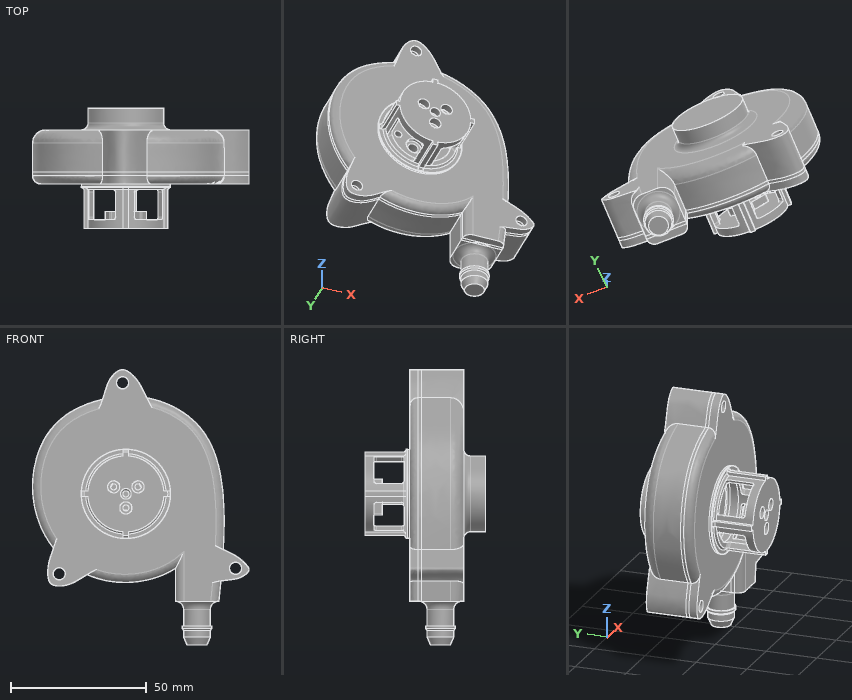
import cadquery as cq
import math


casing_depth = 20.0
cover_thickness = 3.1
gasket_thickness = 1.2
gasket_back = cover_thickness + gasket_thickness
front_round = 3.0
back_round = 4.9

slab_size = 304.6

outlet_bottom = -39.6
outlet_inner_x = 18.3
scroll_points = [
    (outlet_inner_x, -27.5),
    (0, -32.7),
    (-13.7, -30.1),
    (-26.7, -20.0),
    (-34.4, 2.0),
    (-25.9, 25.8),
    (-9.1, 34.7),
    (9.1, 35.1),
    (26.2, 25.8),
    (36.2, -8.1),
    (34.3, outlet_bottom),
]

lug_hole_diameter = 4.4
lug_root_ratio = 0.6
lugs = [
    (
        (-1.2, 40.9),
        [(-10.0, 31.5), (-7.7, 37.8), (-4.2, 44.4), (-1.2, 45.8), (1.8, 44.4), (6.2, 38.6), (9.6, 31.8)],
    ),
    (
        (-24.6, -29.4),
        [(-10.8, -27.8), (-16.9, -31.4), (-23.1, -33.9), (-27.7, -33.0), (-28.8, -28.8),
         (-27.7, -22.8), (-25.6, -16.7)],
    ),
    (
        (40.4, -27.4),
        [(32.8, -19.0), (39.7, -22.3), (44.5, -26.2), (45.4, -27.8), (44.2, -29.6),
         (38.8, -31.7), (31.6, -32.9)],
    ),
]

inlet_diameter = 28.0
inlet_end = 28.0
inlet_flare = 2.4

nozzle_x = 26.2
nozzle_y = 11.4
nozzle_diameter = 10.0
nozzle_flare = 2.9
bead_diameter = 11.0
bead_top = 9.0
bead_bottom = 10.1
bead_taper_end = 10.7
tip_start = 13.2
nozzle_length = 16.1
tip_diameter = 7.3

screw_directions = (30, 150, 270)

seat_diameter = 28.0
seat_floor = 4.9
seat_boss_diameter = 32.8
seat_boss_height = 0.8
shaft_recess_diameter = 6.5
shaft_recess_depth = 1.4
shaft_hole_diameter = 4.0
shaft_hole_depth = 5.1
motor_screw_diameter = 2.8
motor_screw_depth = 4.1
motor_screw_radius = 7.4

cage_front = -16.4
cage_diameter = 28.0
cage_bore_diameter = 24.0
cage_base_diameter = 33.0
cage_base_front = -1.2
cage_chamfer = 0.8
cage_floor = -13.1
rib_reach = 15.4
rib_width = 2.0
window_count = 4
window_width = 14.2
window_shift = 0.3
window_direction = 45
window_round = 0.9
spider_arm_reach = 7.8
spider_arm_width = 4.2
spider_arm_round = 0.5
spider_height = 3.0
cage_screw_radius = 5.2
cage_screw_head_diameter = 4.5
cage_screw_hole_diameter = 2.2
cage_centre_diameter = 4.0
cage_centre_hole_diameter = 2.2


def plane_at(y):
    """Work plane across the motor axis; its local axes are X and Z."""
    return cq.Workplane("XZ", origin=(0, y, 0))


def rod(diameter, y_start, y_end, centres=((0, 0),)):
    """Round bars along Y at the given (X, Z) centres."""
    return plane_at(y_start).pushPoints(centres).circle(diameter / 2).extrude(y_start - y_end)


def turned(profile):
    """Solid turned about the Y axis from (radius, Y) points."""
    return cq.Workplane("XY").polyline(profile).close().revolve(360, (0, 0, 0), (0, 1, 0))


def flare_middle(radius):
    """Distance of a quarter-round flare's midpoint from each of the two faces it blends."""
    return radius * (1 - math.sqrt(0.5))


def around_axis(radius, directions):
    """(X, Z) points on a circle about the motor axis."""
    return [
        (radius * math.cos(math.radians(a)), radius * math.sin(math.radians(a)))
        for a in directions
    ]



def make_volute():
    volute = (
        plane_at(0)
        .moveTo(*scroll_points[0])
        .spline(scroll_points[1:], includeCurrent=True)
        .lineTo(outlet_inner_x, outlet_bottom)
        .close()
        .extrude(-casing_depth)
    )
    volute = volute.faces("<Y").edges("not <Z").fillet(front_round)
    return volute.faces(">Y").edges("not <Z").fillet(back_round)


def make_lug(hole, outline):
    """Lug with a curved outline, closed by a wedge that runs into the volute."""
    root = (lug_root_ratio * hole[0], lug_root_ratio * hole[1])
    return (
        plane_at(0)
        .moveTo(*outline[0])
        .spline(outline[1:], includeCurrent=True)
        .lineTo(*root)
        .close()
        .extrude(-casing_depth)
    )


def make_casing():
    casing = make_volute()
    for hole, outline in lugs:
        casing = casing.union(make_lug(hole, outline))
    holes = [hole for hole, _ in lugs]
    return casing.cut(rod(lug_hole_diameter, 0, casing_depth, holes))


def layer(solid, y_start, y_end):
    """The part of a solid between two planes across the motor axis."""
    slab = plane_at(y_start).rect(slab_size, slab_size).extrude(y_start - y_end)
    return solid.intersect(slab)



def make_inlet():
    radius = inlet_diameter / 2
    middle = flare_middle(inlet_flare)
    return (
        cq.Workplane("XY")
        .moveTo(0, casing_depth)
        .lineTo(radius + inlet_flare, casing_depth)
        .threePointArc((radius + middle, casing_depth + middle), (radius, casing_depth + inlet_flare))
        .lineTo(radius, inlet_end)
        .lineTo(0, inlet_end)
        .close()
        .revolve(360, (0, 0, 0), (0, 1, 0))
    )


def make_nozzle():
    radius = nozzle_diameter / 2
    middle = flare_middle(nozzle_flare)
    return (
        cq.Workplane("XZ", origin=(nozzle_x, nozzle_y, outlet_bottom))
        .lineTo(radius + nozzle_flare, 0)
        .threePointArc((radius + middle, -middle), (radius, -nozzle_flare))
        .lineTo(radius, -bead_top)
        .lineTo(bead_diameter / 2, -bead_top)
        .lineTo(bead_diameter / 2, -bead_bottom)
        .lineTo(radius, -bead_taper_end)
        .lineTo(radius, -tip_start)
        .lineTo(tip_diameter / 2, -nozzle_length)
        .lineTo(0, -nozzle_length)
        .close()
        .revolve(360, (0, 0, 0), (0, 1, 0))
    )


def make_back_housing(casing):
    housing = layer(casing, gasket_back, casing_depth).union(make_inlet()).union(make_nozzle())
    recess_end = seat_floor + shaft_recess_depth
    motor_screws = around_axis(motor_screw_radius, screw_directions)
    return (
        housing.cut(rod(seat_diameter, gasket_back, seat_floor))
        .cut(rod(shaft_recess_diameter, seat_floor, recess_end))
        .cut(rod(shaft_hole_diameter, recess_end, recess_end + shaft_hole_depth))
        .cut(rod(motor_screw_diameter, seat_floor, seat_floor + motor_screw_depth, motor_screws))
    )



def make_gasket(casing):
    return layer(casing, cover_thickness, gasket_back).cut(rod(seat_diameter, cover_thickness, gasket_back))


def make_cover(casing):
    boss = rod(seat_boss_diameter, -seat_boss_height, 0)
    bore = rod(seat_diameter, -seat_boss_height, cover_thickness)
    return layer(casing, 0, cover_thickness).union(boss).cut(bore)



def chamfered_post(radius):
    """Round post from the cage front to the base flange, widening at its root."""
    return turned([
        (0, cage_front),
        (radius, cage_front),
        (radius, cage_base_front - cage_chamfer),
        (radius + cage_chamfer, cage_base_front),
        (0, cage_base_front),
    ])


def make_ribs():
    bar = plane_at(cage_front).rect(rib_width, cage_base_diameter).extrude(cage_front - cage_base_front)
    crossed_bars = bar.union(bar.rotate((0, 0, 0), (0, 1, 0), 90))
    return crossed_bars.intersect(chamfered_post(rib_reach))


def make_window():
    """Round-cornered opening from the axis outwards, slightly off centre between two ribs."""
    return (
        plane_at(cage_floor)
        .center(-window_shift, cage_diameter / 2)
        .rect(window_width, cage_diameter)
        .extrude(cage_floor - (cage_base_front - cage_chamfer))
        .edges("|Z")
        .fillet(window_round)
        .rotate((0, 0, 0), (0, 1, 0), window_direction)
    )


def make_spider():
    """Three-armed boss on the cage floor that carries the screw holes."""
    arm = (
        plane_at(cage_floor)
        .center(spider_arm_reach / 2, 0)
        .rect(spider_arm_reach, spider_arm_width)
        .extrude(-spider_height)
        .edges("|Y and >X")
        .fillet(spider_arm_round)
    )
    spider = rod(spider_arm_width, cage_floor, cage_floor + spider_height)
    for direction in screw_directions:
        spider = spider.union(arm.rotate((0, 0, 0), (0, 1, 0), -direction))
    return spider


def make_cage():
    cage = rod(cage_base_diameter, cage_base_front, -seat_boss_height)
    cage = cage.union(chamfered_post(cage_diameter / 2)).union(make_ribs())
    cage = cage.cut(rod(cage_bore_diameter, cage_floor, -seat_boss_height))
    window = make_window()
    for index in range(window_count):
        cage = cage.cut(window.rotate((0, 0, 0), (0, 1, 0), index * 360 / window_count))
    cage = cage.union(make_spider())

    spider_top = cage_floor + spider_height
    screws = around_axis(cage_screw_radius, screw_directions)
    cage = cage.cut(rod(cage_screw_head_diameter, cage_front, cage_floor, screws))
    cage = cage.cut(rod(cage_screw_hole_diameter, cage_floor, spider_top, screws))

    wide = cage_centre_diameter / 2
    narrow = cage_centre_hole_diameter / 2
    centre_bore = turned([
        (0, cage_front),
        (wide, cage_front),
        (wide, cage_floor),
        (narrow, cage_floor + wide - narrow),
        (narrow, spider_top),
        (0, spider_top),
    ])
    return cage.cut(centre_bore)


casing = make_casing()
back_housing = make_back_housing(casing)
gasket = make_gasket(casing)
cover = make_cover(casing)
cage = make_cage()

result = cq.Compound.makeCompound([back_housing.val(), gasket.val(), cover.val(), cage.val()])